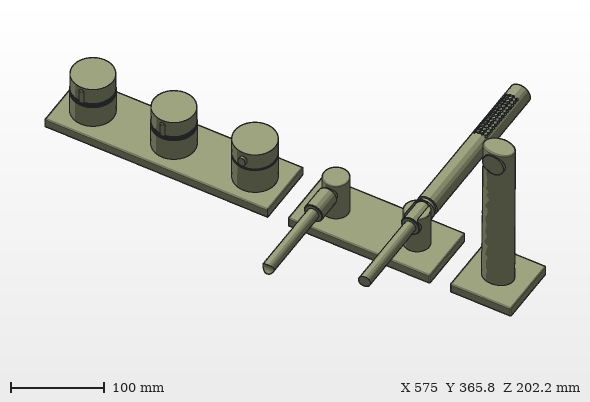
import cadquery as cq
import math

plate_depth = 75
plate_height = 11.5
plate_gap = 25
corner_round = 1.5
top_round = 1.2
station_pitch = 100
edge_margin = plate_depth / 2

control_plate_length = 2 * station_pitch + plate_depth
shower_plate_length = station_pitch + plate_depth
spout_plate_length = plate_depth

shower_plate_x = control_plate_length + plate_gap
spout_plate_x = shower_plate_x + shower_plate_length + plate_gap

control_stations = [edge_margin + station_pitch * i for i in range(3)]
diverter_stations = control_stations[:2]
thermostat_x = control_stations[2]
outlet_x = shower_plate_x + edge_margin
holder_x = outlet_x + station_pitch
spout_x = spout_plate_x + edge_margin

base_diameter = 50
groove_diameter = 48.4
neck_diameter = 46
groove_bottom = 39.5
ring_bottom = 41.5
ring_top = 43.5
knob_bottom = 44.5
knob_top = 66
knob_diameter = 49
finger_radius = 3
finger_offset = 23.5
finger_top = 62.5
finger_chamfer = 1.5

thermostat_top = 67.5
thermostat_groove_bottom = 44.2
thermostat_groove_height = 1.5
button_width = 9
button_height = 11.5
button_z = 56.5
button_reach = 28.5

post_diameter = 30
post_top = 60
post_round = 0.8
hose_diameter = 14
collar_diameter = 22.5
collar_chamfer = 0.75

outlet_z = 46
outlet_neck_diameter = 18
outlet_neck_end = -18
outlet_collar_end = -48.5
outlet_hose_end = -146.5
hose_notch_radius = 9
hose_notch_depth = 3

shower_z = 47.5
holder_slot_width = 16
connector_front = -14.5
flange_end = 16.2
shower_neck_diameter = 21
shower_neck_end = 21.5
shower_diameter = 25
overall_depth = 365.77
shower_end = overall_depth + outlet_hose_end
shower_hose_end = -112.5
hose_cut_slope = 1.5

nozzle_diameter = 3
nozzle_depth = 0.8
nozzle_columns = 4
nozzle_rows = 14
nozzle_row_pitch = 5
nozzle_column_pitch = 4.7
nozzle_end_distance = 19

spout_width = 37.52
spout_base_depth = 30
spout_top_depth = 25
spout_rim = 200.5
spout_rim_round = 1.5
spout_top = 202.25
spray_diameter = 26
spray_z = 185
spray_face = -11


def cylinder_z(x, diameter, bottom, top):
    """Upright cylinder on the centre line of the plates."""
    return cq.Workplane("XY", origin=(x, 0, bottom)).circle(diameter / 2).extrude(top - bottom)


def cylinder_y(x, z, diameter, front, back):
    """Cylinder lying along Y."""
    profile = cq.Workplane("XZ", origin=(x, back, z)).circle(diameter / 2)
    return profile.extrude(back - front)


def plate(x_start, length, corner=0):
    """Rectangular cover plate with rounded top edges and, if asked, rounded upright corners."""
    centre_x = x_start + length / 2
    block = cq.Workplane("XY", origin=(centre_x, 0, 0)).rect(length, plate_depth).extrude(plate_height)
    if corner > 0:
        block = block.edges("|Z").fillet(corner)
    return block.faces(">Z").edges().fillet(top_round)


def diverter_base(x):
    """Round base with a groove, a ring and the neck that carries the knob."""
    base = cylinder_z(x, base_diameter, plate_height, groove_bottom)
    groove = cylinder_z(x, groove_diameter, groove_bottom, ring_bottom)
    ring = cylinder_z(x, base_diameter, ring_bottom, ring_top)
    neck = cylinder_z(x, neck_diameter, ring_top, knob_bottom)
    return base.union(groove).union(ring).union(neck)


def diverter_knob(x):
    """Round knob with an upright finger bar half sunk in its front."""
    knob = cylinder_z(x, knob_diameter, knob_bottom, knob_top)
    finger = cq.Workplane("XY", origin=(x, -finger_offset, knob_bottom)).circle(finger_radius)
    finger = finger.extrude(finger_top - knob_bottom).faces(">Z").chamfer(finger_chamfer)
    return knob.union(finger)


def thermostat():
    """Grooved round head with an oval push button in front."""
    head = cylinder_z(thermostat_x, base_diameter, plate_height, thermostat_top)
    groove_top = thermostat_groove_bottom + thermostat_groove_height
    core = cylinder_z(thermostat_x, groove_diameter, thermostat_groove_bottom, groove_top)
    band = cylinder_z(thermostat_x, base_diameter, thermostat_groove_bottom, groove_top)
    button = cq.Workplane("XZ", origin=(thermostat_x, 0, button_z))
    button = button.ellipse(button_width / 2, button_height / 2).extrude(button_reach)
    return head.cut(band).union(core).union(button)


def control_unit():
    """Long plate with two diverter bases and the thermostat."""
    unit = plate(0, control_plate_length).union(thermostat())
    for x in diverter_stations:
        unit = unit.union(diverter_base(x))
    return unit


def round_topped_post(x):
    """Upright post with a rounded top edge."""
    return cylinder_z(x, post_diameter, plate_height, post_top).faces(">Z").edges().fillet(post_round)


def hose_outlet():
    """Post with a collared hose whose end has a rounded notch."""
    post = round_topped_post(outlet_x)
    neck = cylinder_y(outlet_x, outlet_z, outlet_neck_diameter, outlet_neck_end, 0)
    collar = cylinder_y(outlet_x, outlet_z, collar_diameter, outlet_collar_end, outlet_neck_end)
    collar = collar.faces("<Y").chamfer(collar_chamfer)
    hose = cylinder_y(outlet_x, outlet_z, hose_diameter, outlet_hose_end, outlet_collar_end)
    notch_y = outlet_hose_end + hose_notch_depth - hose_notch_radius
    notch = cq.Workplane("YZ", origin=(outlet_x, notch_y, outlet_z)).circle(hose_notch_radius)
    notch = notch.extrude(hose_diameter, both=True)
    return post.union(neck).union(collar).union(hose.cut(notch))


def shower_holder():
    """Post bored for the shower connector, with a slot open to the top."""
    post = round_topped_post(holder_x)
    bore = cylinder_y(holder_x, shower_z, collar_diameter, -post_diameter, post_diameter)
    slot_height = post_top - shower_z
    slot = cq.Workplane("XY").box(
        holder_slot_width, 2 * post_diameter, slot_height, centered=(True, True, False)
    )
    return post.cut(bore).cut(slot.translate((holder_x, 0, shower_z)))


def shower_unit():
    """Middle plate with the hose outlet and the shower holder."""
    base = plate(shower_plate_x, shower_plate_length, corner_round)
    return base.union(hose_outlet()).union(shower_holder())


def nozzle_holes():
    """Grid of shallow nozzle pits following the top of the shower barrel."""
    half_width = (nozzle_columns - 1) / 2
    last_row = shower_end - nozzle_end_distance
    pits = cq.Workplane("XY")
    for column in range(nozzle_columns):
        offset = (column - half_width) * nozzle_column_pitch
        surface = shower_z + math.sqrt((shower_diameter / 2) ** 2 - offset ** 2)
        rows = [(holder_x + offset, last_row - row * nozzle_row_pitch) for row in range(nozzle_rows)]
        floor = cq.Workplane("XY", origin=(0, 0, surface - nozzle_depth)).pushPoints(rows)
        pits = pits.add(floor.circle(nozzle_diameter / 2).extrude(shower_diameter / 2, combine=False))
    return pits


def hand_shower():
    """Barrel, neck, flange saddled on the holder, connector and hose."""
    barrel = cylinder_y(holder_x, shower_z, shower_diameter, shower_neck_end, shower_end)
    for pit in nozzle_holes().vals():
        barrel = barrel.cut(cq.Workplane(pit))
    neck = cylinder_y(holder_x, shower_z, shower_neck_diameter, flange_end, shower_neck_end)
    flange = cylinder_y(holder_x, shower_z, shower_diameter, 0, flange_end)
    flange = flange.cut(cylinder_z(holder_x, post_diameter, 0, 2 * shower_z))
    connector = cylinder_y(holder_x, shower_z, collar_diameter, connector_front, flange_end)
    connector = connector.faces("<Y").chamfer(collar_chamfer)
    hose = cylinder_y(holder_x, shower_z, hose_diameter, shower_hose_end, connector_front)
    radius = hose_diameter / 2
    wedge = cq.Workplane("XY", origin=(holder_x, shower_hose_end, shower_z - radius))
    wedge = wedge.polyline([(-radius, 0), (radius, 0), (radius, hose_cut_slope)]).close()
    hose = hose.cut(wedge.extrude(hose_diameter))
    return barrel.union(neck).union(flange).union(connector).union(hose)


def spout_unit():
    """Square plate with an oval spout whose front leans back to a domed top."""
    top_centre_y = (spout_base_depth - spout_top_depth) / 2
    outline = cq.Workplane("XY", origin=(spout_x, 0, plate_height))
    outline = outline.ellipse(spout_width / 2, spout_base_depth / 2)
    outline = outline.workplane(offset=spout_top - plate_height).center(0, top_centre_y)
    column = outline.ellipse(spout_width / 2, spout_top_depth / 2).loft(combine=True)

    rise = spout_top - spout_rim
    dome_radius = ((spout_width / 2) ** 2 + rise ** 2) / (2 * rise)
    dome = cq.Workplane("XY").sphere(dome_radius)
    dome = dome.translate((spout_x, top_centre_y, spout_top - dome_radius))
    column = column.intersect(dome).faces(">Z").edges().fillet(spout_rim_round)

    spray = cylinder_y(spout_x, spray_z, spray_diameter, spray_face, top_centre_y)
    return plate(spout_plate_x, spout_plate_length, corner_round).union(column).union(spray)


control_body = control_unit()
diverter_knobs = [diverter_knob(x) for x in diverter_stations]
shower_body = shower_unit()
shower_handset = hand_shower()
spout_body = spout_unit()

result = cq.Compound.makeCompound(
    [
        control_body.val(),
        *[knob.val() for knob in diverter_knobs],
        shower_body.val(),
        shower_handset.val(),
        spout_body.val(),
    ]
)